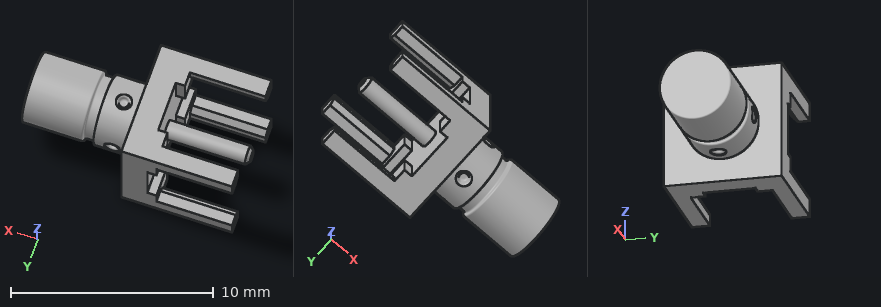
import cadquery as cq
import math


base_width = 5.99
overall_length = 11.38
standoff_face_x = 3.94
plate_face_x = 4.42
plate_back_x = 5.77
leg_width = 0.92
leg_chamfer = 0.335
standoff_width = 1.67

pin_diameter = 0.97
pin_tip_diameter = 0.56

barrel_diameter = 3.66
groove_diameter = 3.28
groove_wall_near_x = 7.66
groove_wall_far_x = 8.185
barrel_end_fillet = 0.08

dimple_x = 6.67
dimple_diameter = 0.51
dimple_fillet = 0.145
dimple_count = 4

sin_45 = math.sqrt(0.5)
barrel_radius = barrel_diameter / 2
half_width = base_width / 2


def box_between(x_start, x_end, y_min, y_max, z_min, z_max):
    """Axis-aligned box given by its limits."""
    size = (x_end - x_start, y_max - y_min, z_max - z_min)
    return cq.Workplane("XY").box(*size, centered=False).translate((x_start, y_min, z_min))


def make_corner():
    """Leg and standoff pad at the +Y +Z corner of the base."""
    leg_inner = half_width - leg_width
    standoff_inner = half_width - standoff_width
    leg = box_between(0, plate_back_x, leg_inner, half_width, leg_inner, half_width)
    leg = leg.edges("|X and <Y and <Z").chamfer(leg_chamfer)
    standoff = box_between(
        standoff_face_x, plate_back_x, standoff_inner, half_width, standoff_inner, half_width
    )
    return leg.union(standoff)


def make_base():
    """Square plate with a leg and a standoff pad at each corner."""
    base = box_between(plate_face_x, plate_back_x, -half_width, half_width, -half_width, half_width)
    corner = make_corner()
    for angle in range(0, 360, 90):
        base = base.union(corner.rotate((0, 0, 0), (1, 0, 0), angle))
    return base


def make_pin():
    """Centre pin with a 45 degree chamfered tip, seated in the plate."""
    tip_chamfer = (pin_diameter - pin_tip_diameter) / 2
    pin = cq.Workplane("YZ").circle(pin_diameter / 2).extrude(plate_back_x)
    return pin.faces("<X").chamfer(tip_chamfer)


def make_barrel():
    """Barrel whose groove walls are a convex and a concave quarter arc."""
    groove_radius = groove_diameter / 2
    mid_radius = (barrel_radius + groove_radius) / 2
    arc_radius = (barrel_radius - groove_radius) / 2
    diagonal = arc_radius * sin_45
    crest = mid_radius + diagonal
    trough = mid_radius - diagonal
    rounded_in = arc_radius - diagonal

    barrel = (
        cq.Workplane("XY")
        .moveTo(plate_back_x, 0)
        .lineTo(plate_back_x, barrel_radius)
        .lineTo(groove_wall_near_x - arc_radius, barrel_radius)
        .threePointArc((groove_wall_near_x - rounded_in, crest), (groove_wall_near_x, mid_radius))
        .threePointArc(
            (groove_wall_near_x + rounded_in, trough), (groove_wall_near_x + arc_radius, groove_radius)
        )
        .lineTo(groove_wall_far_x - arc_radius, groove_radius)
        .threePointArc((groove_wall_far_x - rounded_in, trough), (groove_wall_far_x, mid_radius))
        .threePointArc(
            (groove_wall_far_x + rounded_in, crest), (groove_wall_far_x + arc_radius, barrel_radius)
        )
        .lineTo(overall_length, barrel_radius)
        .lineTo(overall_length, 0)
        .close()
        .revolve(360, (0, 0, 0), (1, 0, 0))
    )
    return barrel.faces(">X").edges().fillet(barrel_end_fillet)


def make_dimple_cutter():
    """Cutter for the +Z dimple: a concave floor fillet meeting a convex rim fillet."""
    radius = dimple_diameter / 2
    rim_radius = radius + dimple_fillet
    rim_z = math.sqrt(barrel_radius**2 - rim_radius**2)
    floor_z = rim_z - 2 * dimple_fillet
    inset = dimple_fillet * (1 - sin_45)
    profile = (
        cq.Workplane("XZ")
        .moveTo(0, floor_z)
        .lineTo(radius - dimple_fillet, floor_z)
        .threePointArc((radius - inset, floor_z + inset), (radius, floor_z + dimple_fillet))
        .threePointArc((radius + inset, rim_z - inset), (rim_radius, rim_z))
        .lineTo(rim_radius, barrel_radius)
        .lineTo(0, barrel_radius)
        .close()
    )
    return profile.revolve(360, (0, 0, 0), (0, 1, 0)).translate((dimple_x, 0, 0))


def cut_dimples(body):
    """Cut the dimples, equally spaced around the barrel."""
    cutter = make_dimple_cutter()
    for index in range(dimple_count):
        angle = index * 360 / dimple_count
        body = body.cut(cutter.rotate((0, 0, 0), (1, 0, 0), angle))
    return body


result = make_base().union(make_pin()).union(cut_dimples(make_barrel()))